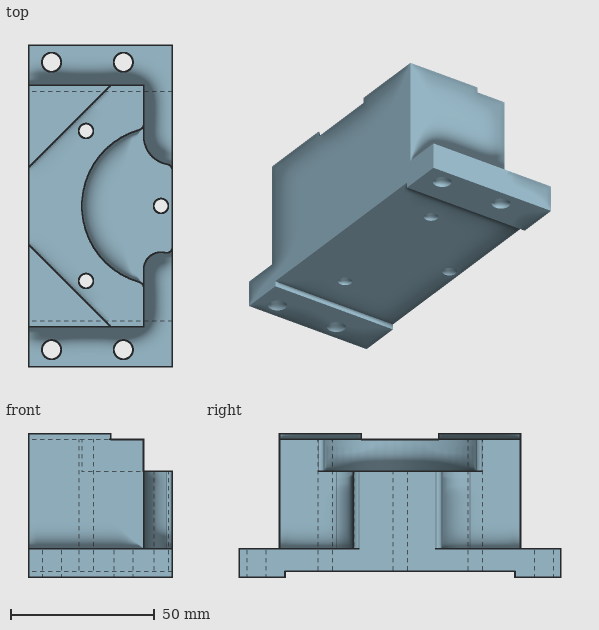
import cadquery as cq
import math

plate_depth = 50.0
plate_length = 112.0
plate_thickness = 10.0
total_height = 50.0

block_depth = 40.0
block_length = 84.0

step_depth = 2.0
channel_length = 80.0
pad_leg = 28.6

shelf_height = 37.0
pocket_radius = 27.5
left_hollow_radius = 6.0
left_side_y = -16.4
left_hollow_end_x = 47.8
right_side_y = 14.3
right_hollow_radius = plate_depth - block_depth
corner_radius = 2.0

mount_hole_diameter = 6.6
mount_hole_rear_x = 8.0
mount_hole_spacing_x = 25.0
mount_hole_spacing_y = 100.0
top_hole_diameter = 5.0
hole_circle_x = 19.9
hole_circle_radius = 26.1
pocket_center_x = hole_circle_x + hole_circle_radius


def slab(depth, length, bottom, top):
    """Box from the rear face, centred on y, between two heights."""
    box = cq.Workplane("XY").box(depth, length, top - bottom, centered=(False, True, False))
    return box.translate((0, 0, bottom))


def corner_pad(side):
    """Triangular pad at a rear corner of the block; side is the sign of y."""
    corner_y = side * block_length / 2
    return (
        cq.Workplane("XY", origin=(0, 0, total_height - step_depth))
        .moveTo(0, corner_y)
        .lineTo(pad_leg, corner_y)
        .lineTo(0, corner_y - side * pad_leg)
        .close()
        .extrude(step_depth)
    )


def front_shelf():
    """Shelf from the block to the front face, with a different hollow on each side."""
    left_center_x = block_depth + left_hollow_radius
    end_offset = left_hollow_end_x - left_center_x
    left_center_y = left_side_y - math.sqrt(left_hollow_radius**2 - end_offset**2)
    diagonal = math.sqrt(0.5)
    left_middle = (
        left_center_x - left_hollow_radius * diagonal,
        left_center_y + left_hollow_radius * diagonal,
    )
    right_center_y = right_side_y + right_hollow_radius
    right_middle = (
        plate_depth - right_hollow_radius * diagonal,
        right_center_y - right_hollow_radius * diagonal,
    )
    return (
        cq.Workplane("XY", origin=(0, 0, plate_thickness))
        .moveTo(block_depth, left_center_y)
        .threePointArc(left_middle, (left_hollow_end_x, left_side_y))
        .lineTo(plate_depth, left_side_y)
        .lineTo(plate_depth, right_side_y)
        .threePointArc(right_middle, (block_depth, right_center_y))
        .close()
        .extrude(shelf_height - plate_thickness)
        .faces(">X")
        .edges("|Z")
        .fillet(corner_radius)
    )


def vertical_holes(points, diameter):
    """Cylinders through the full height at the given points."""
    return cq.Workplane("XY").pushPoints(points).circle(diameter / 2).extrude(total_height)


body = slab(plate_depth, plate_length, 0, plate_thickness)
body = body.union(slab(block_depth, block_length, plate_thickness, total_height - step_depth))
for side in (-1, 1):
    body = body.union(corner_pad(side))

pocket = (
    cq.Workplane("XY", origin=(pocket_center_x, 0, shelf_height))
    .circle(pocket_radius)
    .extrude(total_height - shelf_height)
)
body = body.cut(pocket)

mouth_half_width = math.sqrt(pocket_radius**2 - (pocket_center_x - block_depth) ** 2)
mouth_edge_z = (shelf_height + total_height - step_depth) / 2
for side in (-1, 1):
    mouth_edge = cq.NearestToPointSelector((block_depth, side * mouth_half_width, mouth_edge_z))
    body = body.edges(mouth_edge).fillet(corner_radius)

body = body.union(front_shelf())

body = body.cut(slab(plate_depth, channel_length, 0, step_depth))

mount_points = [
    (mount_hole_rear_x + column * mount_hole_spacing_x, side * mount_hole_spacing_y / 2)
    for column in (0, 1)
    for side in (-1, 1)
]
body = body.cut(vertical_holes(mount_points, mount_hole_diameter))

top_points = [
    (
        hole_circle_x + hole_circle_radius * math.cos(math.radians(angle)),
        hole_circle_radius * math.sin(math.radians(angle)),
    )
    for angle in (-90, 0, 90)
]
result = body.cut(vertical_holes(top_points, top_hole_diameter))